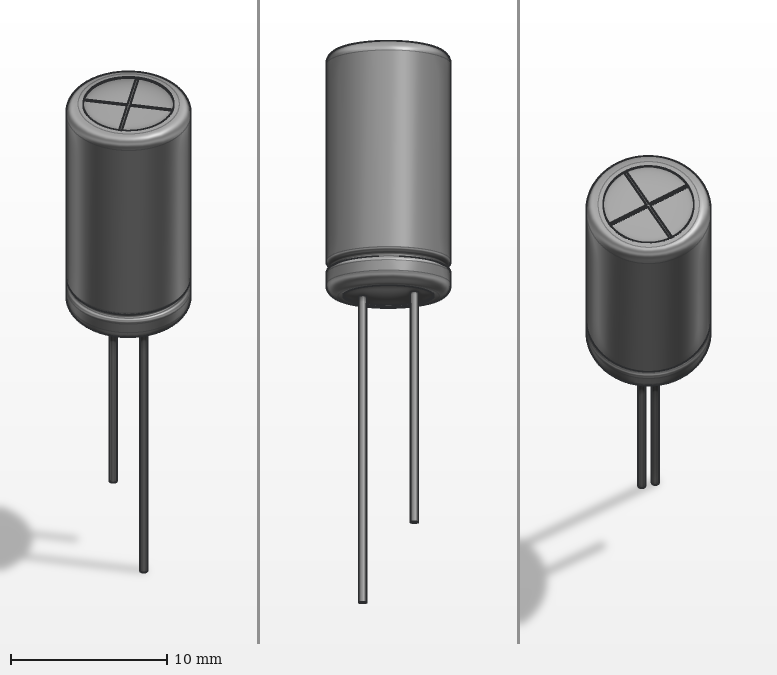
import cadquery as cq
import math

sleeve_diameter = 8.0
overall_length = 36.0
body_height = 16.0
end_fillet = 0.75

sleeve_wall = 0.1
opening_diameter = 5.8

groove_height = 1.87
groove_width = 0.85
groove_depth = 0.35
shoulder_radius = 0.3

score_width = 0.18
score_depth = 0.1
score_angles = (45, 135)

lead_diameter = 0.5
lead_pitch = 3.5
long_lead_end_z = body_height - overall_length
short_lead_end_z = -15.0

half_groove = groove_width / 2
groove_slope = 2 * math.atan(groove_depth / half_groove)


def body_of_revolution(inset):
    """Closed can shape, its whole surface set inwards by `inset` from the sleeve's outside."""
    radius = sleeve_diameter / 2 - inset
    bottom = inset
    top = body_height - inset
    fillet = end_fillet - inset
    fillet_mid = fillet * (1 - math.sqrt(0.5))
    shoulder = shoulder_radius - inset
    shoulder_center = sleeve_diameter / 2 - shoulder_radius

    def shoulder_point(angle, side):
        r = shoulder_center + shoulder * math.cos(angle)
        z = groove_height + side * (half_groove - shoulder * math.sin(angle))
        return (r, z)

    outline = (
        cq.Workplane("XZ")
        .moveTo(0, bottom)
        .lineTo(radius - fillet, bottom)
        .threePointArc((radius - fillet_mid, bottom + fillet_mid), (radius, bottom + fillet))
        .lineTo(radius, groove_height - half_groove)
        .threePointArc(shoulder_point(groove_slope / 2, -1), shoulder_point(groove_slope, -1))
        .threePointArc((radius - groove_depth, groove_height), shoulder_point(groove_slope, 1))
        .threePointArc(shoulder_point(groove_slope / 2, 1), (radius, groove_height + half_groove))
        .lineTo(radius, top - fillet)
        .threePointArc((radius - fillet_mid, top - fillet_mid), (radius - fillet, top))
        .lineTo(0, top)
        .close()
    )
    return outline.revolve(360, (0, 0, 0), (0, 1, 0))


def vent_score():
    """Two crossed bars at 45 degrees to X, as long as the sleeve opening is wide."""
    score_z = body_height - sleeve_wall - score_depth
    cross = None
    for angle in score_angles:
        bar = (
            cq.Workplane("XY", origin=(0, 0, score_z))
            .rect(opening_diameter, score_width)
            .extrude(score_depth)
            .rotate((0, 0, 0), (0, 0, 1), angle)
        )
        cross = bar if cross is None else cross.union(bar)
    return cross


def lead(x, end_z):
    """Round wire from the underside of the can down to `end_z`."""
    return (
        cq.Workplane("XY", origin=(x, 0, end_z))
        .circle(lead_diameter / 2)
        .extrude(sleeve_wall - end_z)
    )


def make_can():
    """Aluminium can with its vent score and its two leads."""
    can = body_of_revolution(sleeve_wall).cut(vent_score())
    can = can.union(lead(-lead_pitch / 2, short_lead_end_z))
    return can.union(lead(lead_pitch / 2, long_lead_end_z))


def make_sleeve():
    """Thin sleeve that follows the can and folds over both ends around a round opening."""
    openings = cq.Workplane("XY").circle(opening_diameter / 2).extrude(body_height)
    return body_of_revolution(0).cut(body_of_revolution(sleeve_wall)).cut(openings)


can = make_can()
sleeve = make_sleeve()

result = cq.Compound.makeCompound([can.solids().val(), sleeve.solids().val()])